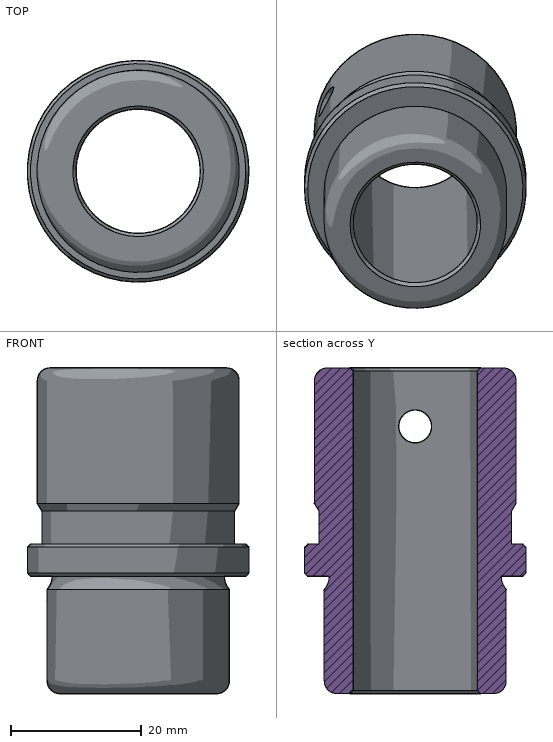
import cadquery as cq
import math

total_height = 50.0
flange_bottom = 18.0
flange_thickness = 5.0
flange_top = flange_bottom + flange_thickness
neck_top = 28.0
neck_taper_height = 1.2
undercut_height = 2.0

head_radius = 15.5
neck_radius = 14.8
flange_radius = 17.0
shank_radius = 14.0
undercut_arc_radius = 3.0
bore_radius = 9.5

end_fillet = 2.0
flange_chamfer = 0.5
bore_chamfer = 0.5

cross_hole_diameter = 5.0
cross_hole_height = 41.0


def frustum(bottom_radius, top_radius, bottom, height):
    """Cone section about the Z axis."""
    cone = cq.Solid.makeCone(bottom_radius, top_radius, height, cq.Vector(0, 0, bottom))
    return cq.Workplane(obj=cone)


def cylinder(radius, bottom, top):
    """Plain cylinder about the Z axis."""
    return cq.Workplane("XY").workplane(offset=bottom).circle(radius).extrude(top - bottom)


def make_shank():
    """Lower cylinder, rounded at the end, with a concave arc narrowing it under the flange."""
    undercut_bottom = flange_bottom - undercut_height
    arc_center_radius = shank_radius + math.sqrt(undercut_arc_radius**2 - undercut_height**2)
    waist_radius = arc_center_radius - undercut_arc_radius
    half_sweep = math.asin(undercut_height / undercut_arc_radius) / 2
    arc_middle = (
        arc_center_radius - undercut_arc_radius * math.cos(half_sweep),
        flange_bottom - undercut_arc_radius * math.sin(half_sweep),
    )
    undercut = (
        cq.Workplane("XZ")
        .moveTo(0, undercut_bottom)
        .lineTo(shank_radius, undercut_bottom)
        .threePointArc(arc_middle, (waist_radius, flange_bottom))
        .lineTo(0, flange_bottom)
        .close()
        .revolve(360, (0, 0, 0), (0, 1, 0))
    )
    body = cylinder(shank_radius, 0, undercut_bottom).faces("<Z").edges().fillet(end_fillet)
    return body.union(undercut)


def make_flange():
    """Collar with both rims chamfered."""
    return cylinder(flange_radius, flange_bottom, flange_top).edges("%CIRCLE").chamfer(flange_chamfer)


def make_head():
    """Neck widening through a short taper into the upper cylinder with a rounded end."""
    head_bottom = neck_top + neck_taper_height
    neck = cylinder(neck_radius, flange_top, neck_top)
    taper = frustum(neck_radius, head_radius, neck_top, neck_taper_height)
    body = cylinder(head_radius, head_bottom, total_height).faces(">Z").edges().fillet(end_fillet)
    return neck.union(taper).union(body)


def make_bore():
    """Through bore with a chamfered mouth at each end."""
    mouth_radius = bore_radius + bore_chamfer
    bore = cylinder(bore_radius, 0, total_height)
    lower_mouth = frustum(mouth_radius, bore_radius, 0, bore_chamfer)
    upper_mouth = frustum(bore_radius, mouth_radius, total_height - bore_chamfer, bore_chamfer)
    return bore.union(lower_mouth).union(upper_mouth)


def make_cross_hole():
    """Radial drill running from the axis out through the +Y wall."""
    return (
        cq.Workplane("XZ", origin=(0, 0, cross_hole_height))
        .circle(cross_hole_diameter / 2)
        .extrude(-flange_radius)
    )


outside = make_shank().union(make_flange()).union(make_head())
result = outside.cut(make_bore()).cut(make_cross_hole())